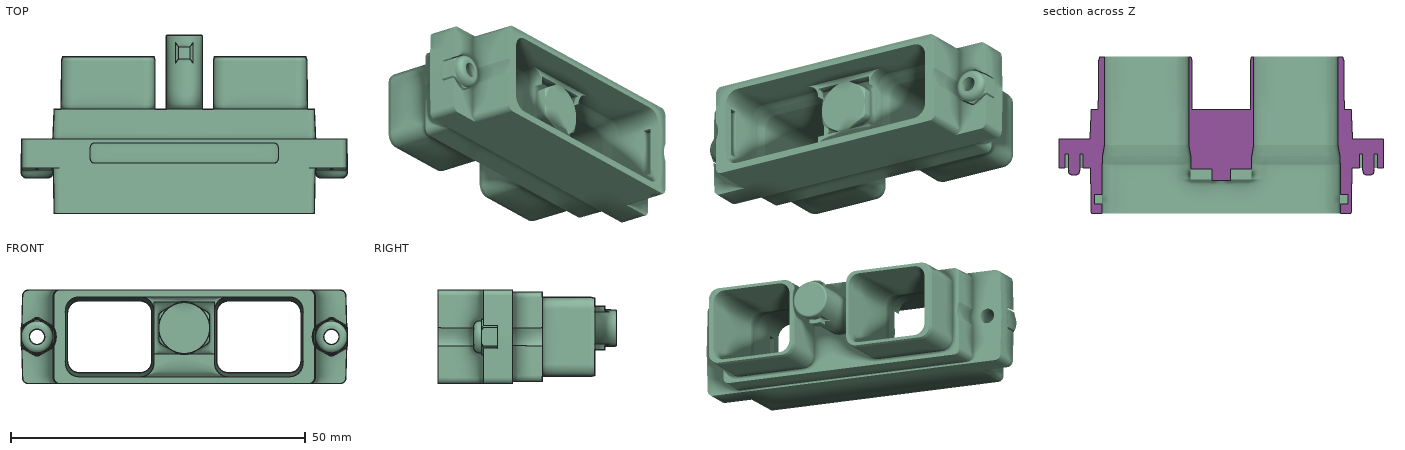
import cadquery as cq
import math

length_x = 55.5
depth_y = 30.35
height_z = 15.95

body_width = 44.75
body_end_width = 44.3
flange_front = 7.7
flange_rear = 12.7
body_rear = 17.75
rear_height = 15.25
corner_radius = 1.0

flange_mid_width = 55.4
flange_edge_width = 54.95

pod_rear = 26.7
pod_height = 13.5
pod_inner_x = 4.95
pod_outer_x = 21.05
pod_taper = 0.15
pod_radius = 2.0
rim_length = 0.65
rim_inset = 0.15

cavity_width = 40.4
cavity_height = 13.6
cavity_radius = 2.35
web_width = 10.3
web_front = 5.7
chamber_end = 8.3
lead_in_end = 9.75
lead_in_inset_x = 0.05
lead_in_inset_z = 0.4
lip_end = 10.4
lip_inset_x = 0.15
lip_inset_z = 0.5
window_start = 11.65
window_inset_x = 0.4
window_inset_z = 0.7

pin_z = 1.5
recess_height = 8.8
recess_floor = 7.55
head_flats = 8.65
head_corner_radius = 1.1
head_front = 5.6
head_bevel_length = 0.4
pin_radius = 3.1
pin_end_radius = 0.3

tab_reach = 3.8
tab_width = 1.95
tab_front = 26.3
tab_rear = 28.35
flat_offset = 2.7
flat_flare = 0.7

insert_flats = 5.45
insert_depth = 2.4
insert_clearance = 0.2
insert_bore = 2.55
pocket_corner_radius = 0.65
insert_x = length_x / 2 - insert_flats / 2
dome_front = 6.05
dome_base = 7.4
dome_radius = insert_flats / 2
dome_rounding = 1.0
insert_bevel_radius = 2.95
relief_radius = 3.3

latch_front = 1.65
latch_rear = 3.2
latch_depth = 1.3
latch_height = 8.45
label_width = 31.95
label_front = 8.6
label_rear = 12.0
label_corner = 0.7
label_depth = 0.15


def across_corners(flats):
    """Corner-to-corner size of a hexagon with the given size across flats."""
    return flats / math.cos(math.pi / 6)


def along_y(y, x=0.0, z=0.0):
    """Workplane centred at (x, y, z) whose normal points towards +Y."""
    plane = cq.Plane(origin=(x, y, z), xDir=(1, 0, 0), normal=(0, 1, 0))
    return cq.Workplane(plane)


def block(x0, x1, y0, y1, z0, z1):
    return cq.Workplane("XY", origin=(x0, y0, z0)).box(x1 - x0, y1 - y0, z1 - z0, centered=False)


def rounded_bar(width, height, y0, y1, radius, x=0.0):
    """Straight bar along Y with rounded corners."""
    return along_y(y0, x).rect(width, height).extrude(y1 - y0).edges("|Y").fillet(radius)


def tapered_bar(outline, height, radius):
    """Outline in X and Y extruded symmetrically in Z, with its long edges rounded."""
    bar = cq.Workplane("XY").polyline(outline).close().extrude(height / 2, both=True)
    return bar.edges("(not |X) and (not |Z)").fillet(radius)


def hexagon(y, depth, flats, x=0.0, z=0.0):
    """Hexagonal prism along Y with two of its flats facing +X and -X."""
    plane = along_y(y, x, z).transformed(rotate=(0, 0, 90))
    return plane.polygon(6, across_corners(flats)).extrude(depth)


def bevel_envelope(y, bevel_length, face_radius, flats, x=0.0, z=0.0):
    """Cone that opens from a round face to the corners of a hexagon, then a wide barrel behind it."""
    corner_reach = across_corners(flats) / 2
    cone = along_y(y, x, z).circle(face_radius).workplane(offset=bevel_length).circle(corner_reach).loft()
    barrel = along_y(y + bevel_length, x, z).circle(flats).extrude(flats)
    return cone.union(barrel)


def both_ends(feature):
    """The feature together with its mirror image across X = 0."""
    return feature.union(feature.mirror("YZ"))


def shell():
    half_mid = body_width / 2
    half_end = body_end_width / 2
    front_outline = [
        (-half_end, 0),
        (half_end, 0),
        (half_mid, flange_rear),
        (-half_mid, flange_rear),
    ]
    rear_outline = [
        (-half_mid, flange_rear),
        (half_mid, flange_rear),
        (half_end, body_rear),
        (-half_end, body_rear),
    ]
    front = tapered_bar(front_outline, height_z, corner_radius)
    rear = tapered_bar(rear_outline, rear_height, corner_radius)
    return front.union(rear)


def flange():
    half_mid = flange_mid_width / 2
    half_edge = flange_edge_width / 2
    half_height = height_z / 2
    outline = [
        (-half_edge, -half_height),
        (half_edge, -half_height),
        (half_mid, 0),
        (half_edge, half_height),
        (-half_edge, half_height),
        (-half_mid, 0),
    ]
    plate = along_y(flange_front).polyline(outline).close().extrude(flange_rear - flange_front)
    return plate.edges("|Y and (>Z or <Z)").fillet(corner_radius)


def pod():
    outline = [
        (pod_inner_x, flange_rear),
        (pod_outer_x, flange_rear),
        (pod_outer_x - pod_taper, pod_rear),
        (pod_inner_x, pod_rear),
    ]
    bar = tapered_bar(outline, pod_height, pod_radius)
    return bar.faces(">Y").chamfer(rim_length, rim_inset)


def pod_chamber():
    """Hollow of one pod: straight chamber, tapered stages, then a straight window through the rear."""
    width = (cavity_width - web_width) / 2
    centre_x = (cavity_width + web_width) / 4
    stages = [
        (chamber_end, 0, 0),
        (lead_in_end, lead_in_inset_x, lead_in_inset_z),
        (lip_end, lip_inset_x, lip_inset_z),
        (window_start, window_inset_x, window_inset_z),
        (pod_rear, window_inset_x, window_inset_z),
    ]

    def section(inset_x, inset_z):
        outline = cq.Sketch().rect(width - 2 * inset_x, cavity_height - 2 * inset_z)
        return outline.vertices().fillet(cavity_radius - inset_x)

    hollow = rounded_bar(width, cavity_height, 0, chamber_end, cavity_radius, centre_x)
    for (start_y, *start_inset), (end_y, *end_inset) in zip(stages, stages[1:]):
        end_section = section(*end_inset).moved(cq.Location(cq.Vector(0, 0, end_y - start_y)))
        stage = along_y(start_y, centre_x).placeSketch(section(*start_inset), end_section).loft()
        hollow = hollow.union(stage)
    return hollow


def web_recess():
    half_width = web_width / 2
    half_height = recess_height / 2
    return block(-half_width, half_width, 0, recess_floor, pin_z - half_height, pin_z + half_height)


def bolt_head():
    """Hexagonal head with rounded corners, bevelled to a round face."""
    head = hexagon(head_front, recess_floor - head_front, head_flats, z=pin_z)
    head = head.edges("|Y").fillet(head_corner_radius)
    bevel = bevel_envelope(head_front, head_bevel_length, head_flats / 2, head_flats, z=pin_z)
    return head.intersect(bevel)


def pin():
    shaft = along_y(flange_rear, z=pin_z).circle(pin_radius).extrude(depth_y - flange_rear)
    shaft = shaft.faces(">Y").edges().fillet(pin_end_radius)
    half_tab = tab_width / 2
    flat_edge = math.sqrt(pin_radius**2 - flat_offset**2)
    slope = flat_flare / (flat_edge - half_tab)
    flare = slope * (pin_radius - half_tab)
    flat_outline = [
        (half_tab, tab_front),
        (pin_radius, tab_front - flare),
        (pin_radius, tab_rear + flare),
        (half_tab, tab_rear),
    ]
    flat = cq.Workplane("XY", origin=(0, 0, flat_offset)).polyline(flat_outline).close()
    flats = both_ends(flat.extrude(pin_radius))
    tab = block(-half_tab, half_tab, tab_front, tab_rear, 0, tab_reach)
    tab = tab.intersect(along_y(tab_front).circle(tab_reach).extrude(tab_rear - tab_front))
    for side in (flats, flats.mirror("XY")):
        shaft = shaft.cut(side.translate((0, 0, pin_z)))
    for side in (tab, tab.mirror("XY")):
        shaft = shaft.union(side.translate((0, 0, pin_z)))
    return shaft


def ear_relief():
    """Channels along the shell ends that clear the insert, tapered like the walls they run along."""
    inner_radius = relief_radius - (body_width - body_end_width) / 2
    front = along_y(0, insert_x).circle(relief_radius)
    front = front.workplane(offset=flange_rear).circle(inner_radius).loft()
    rear = along_y(flange_rear, insert_x).circle(inner_radius)
    rear = rear.workplane(offset=body_rear - flange_rear).circle(relief_radius).loft()
    return both_ends(front.union(rear))


def insert_pocket():
    flats = insert_flats + 2 * insert_clearance
    pocket = hexagon(flange_front, insert_depth, flats, insert_x)
    return both_ends(pocket.edges("|Y").fillet(pocket_corner_radius))


def insert():
    nut = hexagon(dome_base, flange_front + insert_depth - dome_base, insert_flats, insert_x)
    bevel_length = flange_front - dome_base
    bevel = bevel_envelope(dome_base, bevel_length, insert_bevel_radius, insert_flats, insert_x)
    nut = nut.intersect(bevel)
    dome = along_y(dome_front, insert_x).circle(dome_radius).extrude(dome_base - dome_front)
    dome = dome.faces("<Y").edges().fillet(dome_rounding)
    return both_ends(nut.union(dome))


def insert_bore_hole():
    return both_ends(along_y(0, insert_x).circle(insert_bore / 2).extrude(body_rear))


def latch_slots():
    wall = cavity_width / 2
    half_height = latch_height / 2
    slot = block(wall, wall + latch_depth, latch_front, latch_rear, -half_height, half_height)
    return both_ends(slot)


def label_panel():
    half_width = label_width / 2
    top = height_z / 2
    panel = block(-half_width, half_width, label_front, label_rear, top - label_depth, top)
    return panel.edges("|Z").fillet(label_corner)


outside = shell().cut(ear_relief()).union(flange()).union(both_ends(pod()))
front_cavity = rounded_bar(cavity_width, cavity_height, 0, web_front, cavity_radius)
housing = outside.cut(front_cavity).cut(both_ends(pod_chamber())).cut(web_recess())
housing = housing.cut(latch_slots()).cut(label_panel()).cut(insert_pocket())
result = housing.union(bolt_head()).union(pin()).union(insert()).cut(insert_bore_hole())